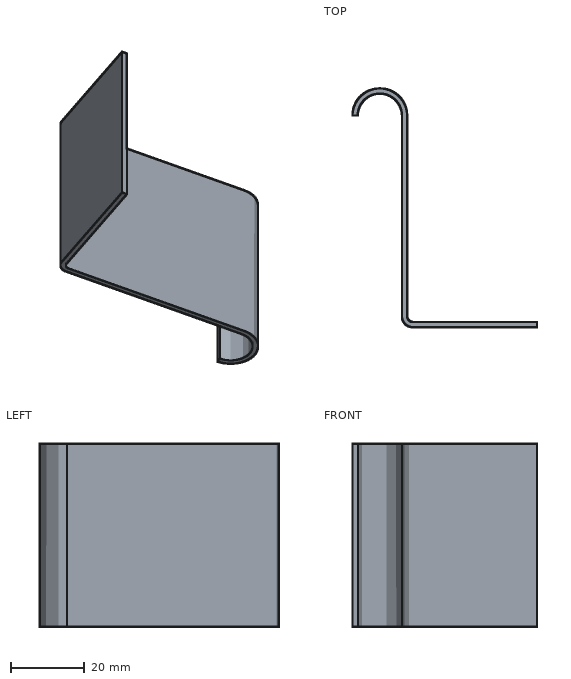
import cadquery as cq

width = 50.5
depth = 65.3
height = 50.0

thickness = 1.5
bend_inner_radius = 1.5
bend_outer_radius = bend_inner_radius + thickness
hook_outer_radius = 7.5
hook_inner_radius = hook_outer_radius - thickness

hook_center_x = hook_outer_radius
hook_center_y = depth - hook_outer_radius
wall_outer_x = 2 * hook_outer_radius
wall_inner_x = wall_outer_x - thickness
bend_center_x = wall_inner_x + bend_outer_radius
bend_center_y = bend_outer_radius


def sheet_profile():
    """Closed outline of the strip: half-round hook, straight wall, bend and foot."""
    return (
        cq.Workplane("XY")
        .moveTo(0, hook_center_y)
        .threePointArc((hook_center_x, depth), (wall_outer_x, hook_center_y))
        .lineTo(wall_outer_x, bend_center_y)
        .radiusArc((bend_center_x, thickness), -bend_inner_radius)
        .lineTo(width, thickness)
        .lineTo(width, 0)
        .lineTo(bend_center_x, 0)
        .radiusArc((wall_inner_x, bend_center_y), bend_outer_radius)
        .lineTo(wall_inner_x, hook_center_y)
        .threePointArc(
            (hook_center_x, hook_center_y + hook_inner_radius),
            (thickness, hook_center_y),
        )
        .close()
    )


result = sheet_profile().extrude(height)